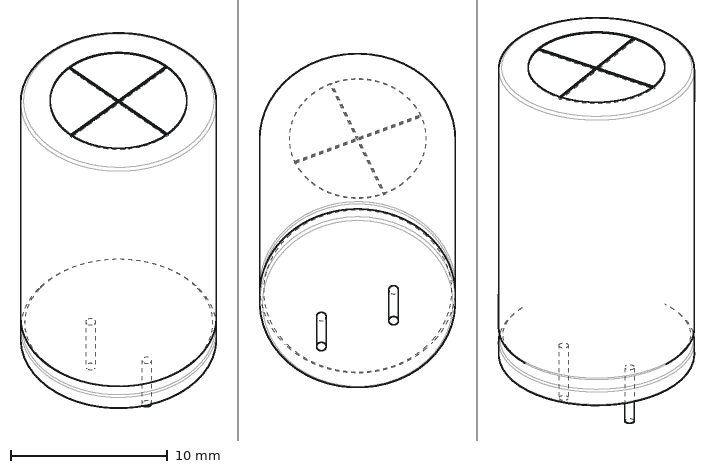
import cadquery as cq

total_height = 25.5
can_diameter = 12.5
can_radius = can_diameter / 2
rim_fillet = 0.18

lead_diameter = 0.6
lead_spacing = 5.0
long_lead = 4.0
short_lead = 3.9
can_height = total_height - long_lead

groove_height = 1.62
groove_mouth = 0.82
groove_depth = 0.25
groove_edge_fillet = 0.2

vent_diameter = 8.72
vent_depth = 0.08
score_width = 0.1
score_depth = 0.1


def make_can():
    """Revolved can with an arc-shaped crimp groove; its base lies on Z = 0."""
    half_mouth = groove_mouth / 2
    profile = (
        cq.Workplane("XZ")
        .lineTo(can_radius, 0)
        .lineTo(can_radius, groove_height - half_mouth)
        .threePointArc(
            (can_radius - groove_depth, groove_height),
            (can_radius, groove_height + half_mouth),
        )
        .lineTo(can_radius, can_height)
        .lineTo(0, can_height)
        .close()
    )
    can = profile.revolve(360, (0, 0), (0, 1))
    can = can.faces("<Z or >Z").edges().fillet(rim_fillet)
    groove_zone = cq.selectors.BoxSelector(
        (-can_diameter, -can_diameter, groove_height - groove_mouth),
        (can_diameter, can_diameter, groove_height + groove_mouth),
    )
    return can.edges(groove_zone).edges("%CIRCLE").fillet(groove_edge_fillet)


def cut_vent(can):
    """Sink the round recess, then score two crossing grooves in its floor."""
    can = can.faces(">Z").workplane().circle(vent_diameter / 2).cutBlind(-vent_depth)
    floor = cq.Workplane("XY").workplane(offset=can_height - vent_depth)
    cross = (
        floor.rect(vent_diameter, score_width).extrude(-score_depth)
        .union(floor.rect(score_width, vent_diameter).extrude(-score_depth))
    )
    return can.cut(cross)


def make_lead(x, length):
    """Straight round lead hanging below the can base."""
    return cq.Workplane("XY").center(x, 0).circle(lead_diameter / 2).extrude(-length)


result = cut_vent(make_can())
for side, length in ((-1, long_lead), (1, short_lead)):
    result = result.union(make_lead(side * lead_spacing / 2, length))